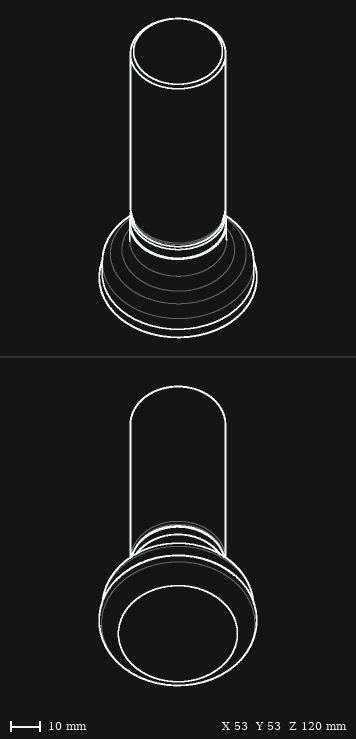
import cadquery as cq
import math

TOTAL_HEIGHT = 120.0

SHANK_RADIUS = 32.0 / 2
SHANK_CHAMFER = 1.1
GROOVE_RADIUS = 31.3 / 2
GROOVE_TOP = 42.2
GROOVE_FLOOR_TOP = 41.0
GROOVE_FLOOR_BOTTOM = 40.0
GROOVE_BOTTOM = 38.9

NECK_RADIUS = 32.5 / 2
NECK_TOP = 34.6
NECK_CHAMFER = NECK_RADIUS - SHANK_RADIUS
HEAD_RADIUS = 51.0 / 2
HEAD_ROUND_START = 15.0
BLEND_RADIUS = 5.0
SHOULDER_ANGLE = 28.0

RIM_RADIUS = 53.0 / 2
RIM_ROUND = 2.5
RIM_ROUND_HEIGHT = 7.6
RIM_CONE_ANGLE = 45.0
RIM_TOP = RIM_ROUND_HEIGHT + math.sqrt(RIM_ROUND**2 - (HEAD_RADIUS - RIM_RADIUS + RIM_ROUND)**2)


def point_on_circle(center, radius, degrees):
    """Point (r, z) on a circle in the profile plane."""
    angle = math.radians(degrees)
    return center[0] + radius * math.cos(angle), center[1] + radius * math.sin(angle)


def revolve_profile(profile):
    """Turn a closed (r, z) profile about the Z axis."""
    return profile.close().revolve(360, (0, 0, 0), (0, 1, 0))


def make_holder():
    """Shank with its groove, neck and rounded head."""
    normal_angle = 90 - SHOULDER_ANGLE
    half_turn = normal_angle / 2

    round_center = (HEAD_RADIUS - BLEND_RADIUS, HEAD_ROUND_START)
    round_middle = point_on_circle(round_center, BLEND_RADIUS, half_turn)
    shoulder_outer = point_on_circle(round_center, BLEND_RADIUS, normal_angle)

    fillet_center_radius = NECK_RADIUS + BLEND_RADIUS
    shoulder_inner_radius = fillet_center_radius - BLEND_RADIUS * math.cos(math.radians(normal_angle))
    shoulder_rise = (shoulder_outer[0] - shoulder_inner_radius) * math.tan(math.radians(SHOULDER_ANGLE))
    shoulder_inner = (shoulder_inner_radius, shoulder_outer[1] + shoulder_rise)
    fillet_top = shoulder_inner[1] + BLEND_RADIUS * math.sin(math.radians(normal_angle))
    fillet_middle = point_on_circle((fillet_center_radius, fillet_top), BLEND_RADIUS, 180 + half_turn)

    profile = (
        cq.Workplane("XZ")
        .moveTo(0, RIM_TOP)
        .lineTo(HEAD_RADIUS, RIM_TOP)
        .lineTo(HEAD_RADIUS, HEAD_ROUND_START)
        .threePointArc(round_middle, shoulder_outer)
        .lineTo(*shoulder_inner)
        .threePointArc(fillet_middle, (NECK_RADIUS, fillet_top))
        .lineTo(NECK_RADIUS, NECK_TOP - NECK_CHAMFER)
        .lineTo(SHANK_RADIUS, NECK_TOP)
        .lineTo(SHANK_RADIUS, GROOVE_BOTTOM)
        .lineTo(GROOVE_RADIUS, GROOVE_FLOOR_BOTTOM)
        .lineTo(GROOVE_RADIUS, GROOVE_FLOOR_TOP)
        .lineTo(SHANK_RADIUS, GROOVE_TOP)
        .lineTo(SHANK_RADIUS, TOTAL_HEIGHT - SHANK_CHAMFER)
        .lineTo(SHANK_RADIUS - SHANK_CHAMFER, TOTAL_HEIGHT)
        .lineTo(0, TOTAL_HEIGHT)
    )
    return revolve_profile(profile)


def make_cutting_rim():
    """Disc below the head with a rounded edge and a conical underside."""
    round_center_radius = RIM_RADIUS - RIM_ROUND
    cone_top = point_on_circle((round_center_radius, RIM_ROUND_HEIGHT), RIM_ROUND, -RIM_CONE_ANGLE)
    bottom_radius = cone_top[0] - cone_top[1] / math.tan(math.radians(RIM_CONE_ANGLE))

    profile = (
        cq.Workplane("XZ")
        .lineTo(bottom_radius, 0)
        .lineTo(*cone_top)
        .threePointArc((RIM_RADIUS, RIM_ROUND_HEIGHT), (HEAD_RADIUS, RIM_TOP))
        .lineTo(0, RIM_TOP)
    )
    return revolve_profile(profile)


holder = make_holder()
cutting_rim = make_cutting_rim()

result = cq.Compound.makeCompound([holder.val(), cutting_rim.val()])